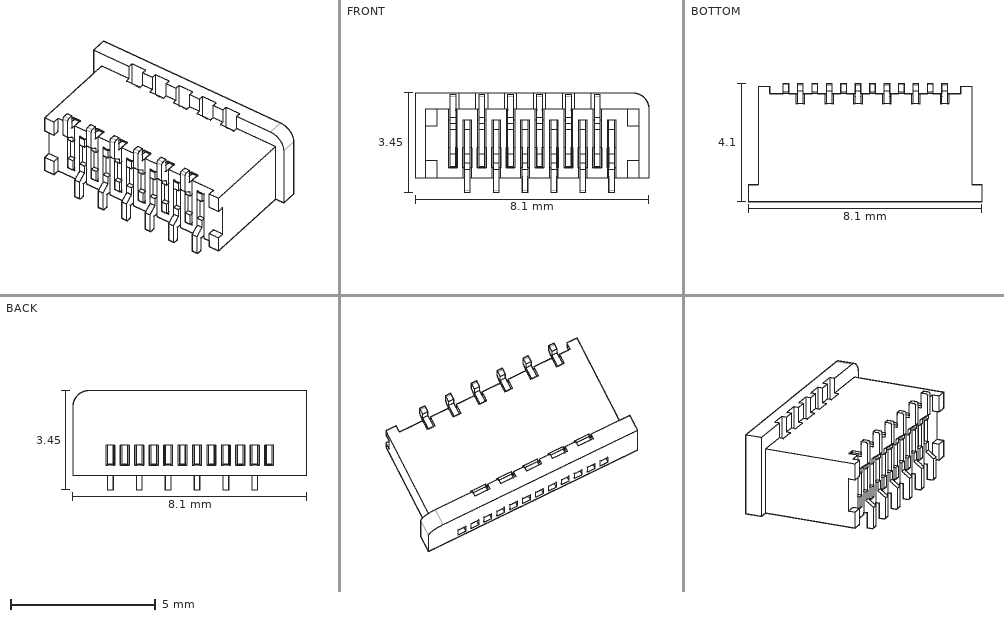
import cadquery as cq


flange_width = 8.1
flange_depth = 0.6
flange_height = 2.95
flange_corner_radius = 0.57
body_inset = 0.35
body_width = flange_width - 2 * body_inset
body_height = 2.4
body_front = -3.75

foot_width = 0.4
foot_height = 0.6
foot_front = -4.0

notch_width = 0.58
notch_rear = -0.42
notch_front = -0.75

contact_count = 12
contact_span = 5.5
contact_step = contact_span / (contact_count - 1)
contact_width = 0.2

slot_width = 0.3
slot_ceiling = 2.02
slot_floor = 0.36
slot_rear = -1.94
passage_ceiling = 1.05
tail_slot_depth = 0.35
tail_slot_rear = body_front + tail_slot_depth

upper_arm_underside = 1.685
lower_arm_top = 0.83
lower_arm_underside = 0.4
arm_front = -3.8
web_front = -3.645

tail_front = -4.1
tail_thickness = 0.25
tail_rear = tail_front + tail_thickness
tail_root_recess = 0.06
tail_reach = 0.5
tail_tip_radius = 0.07
bend_start = 0.52
bend_end = 0.3


def box(x_center, width, y_front, y_rear, z_bottom, z_top):
    return (
        cq.Workplane("XY", origin=(x_center, (y_front + y_rear) / 2, z_bottom))
        .box(width, y_rear - y_front, z_top - z_bottom, centered=(True, True, False))
    )


def make_housing():
    flange = box(0, flange_width, -flange_depth, 0, 0, flange_height)
    flange = flange.edges("|Y and >X and >Z").fillet(flange_corner_radius)
    housing = flange.union(box(0, body_width, body_front, -flange_depth, 0, body_height))
    for side in (-1, 1):
        foot_x = side * (body_width - foot_width) / 2
        for foot_bottom in (0, body_height - foot_height):
            foot_top = foot_bottom + foot_height
            housing = housing.union(box(foot_x, foot_width, foot_front, body_front, foot_bottom, foot_top))
    return housing


def cut_slot(housing, x, is_upper):
    """Cut one contact slot, its passage to the cable side and its tail opening."""
    slot = box(x, slot_width, body_front, slot_rear, slot_floor, slot_ceiling)
    passage = box(x, slot_width, body_front, 0, slot_floor, passage_ceiling)
    tail_bottom, tail_top = (slot_floor, body_height) if is_upper else (0, slot_ceiling)
    tail_slot = box(x, slot_width, body_front, tail_slot_rear, tail_bottom, tail_top)
    return housing.cut(slot).cut(passage).cut(tail_slot)


def make_contact(x, is_upper):
    """Forked contact that fills the slot to its rear wall, with a tail bent up or down."""
    if is_upper:
        tail_root = body_height - tail_root_recess
        tail_tip = body_height + tail_reach
        bend_inner = body_height - bend_start
        bend_outer = body_height - bend_end
    else:
        tail_root = tail_root_recess
        tail_tip = -tail_reach
        bend_inner = bend_start
        bend_outer = bend_end

    arms = box(x, contact_width, arm_front, slot_rear, lower_arm_underside, slot_ceiling)
    gap = box(x, contact_width, arm_front, web_front, lower_arm_top, upper_arm_underside)
    tail = (
        cq.Workplane("YZ", origin=(x - contact_width / 2, 0, 0))
        .moveTo(arm_front, bend_inner)
        .lineTo(tail_front, bend_outer)
        .lineTo(tail_front, tail_tip)
        .lineTo(tail_rear, tail_tip)
        .lineTo(tail_rear, tail_root)
        .lineTo(tail_slot_rear, tail_root)
        .lineTo(tail_slot_rear, bend_inner)
        .close()
        .extrude(contact_width)
    )
    tail = tail.faces("<Y").edges(">Z" if is_upper else "<Z").fillet(tail_tip_radius)
    return arms.cut(gap).union(tail)


connector = make_housing()
for index in range(contact_count):
    contact_x = index * contact_step - contact_span / 2
    upper_row = index % 2 == 0
    connector = cut_slot(connector, contact_x, upper_row)
    connector = connector.union(make_contact(contact_x, upper_row))

    if not upper_row and index < contact_count - 1:
        notch = box(contact_x, notch_width, notch_front, notch_rear, slot_ceiling, flange_height)
        connector = connector.cut(notch)

result = connector